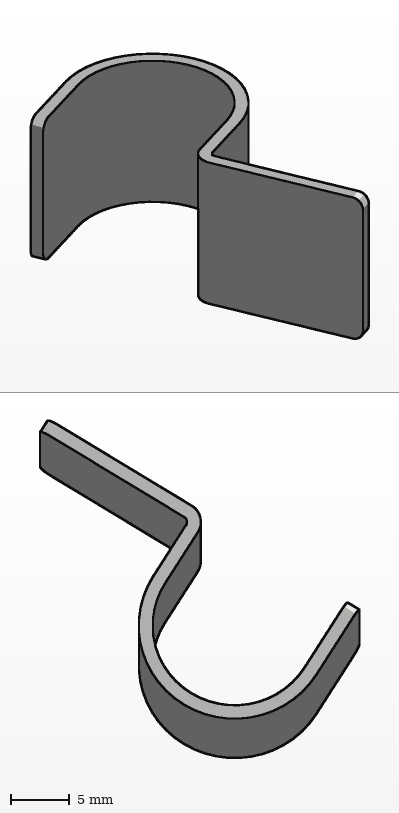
import cadquery as cq
import math

length = 31.4
width = 14.0
thickness = 1.2
loop_radius = 8.2
leg_height = 7.0
bend_inner_radius = 0.5
corner_radius = 1.0

inner_radius = loop_radius - thickness
bend_outer_radius = bend_inner_radius + thickness
flange_end = length - loop_radius
bend_x = inner_radius + bend_outer_radius
bend_y = bend_outer_radius
bend_diagonal = math.sqrt(0.5)


def bend_midpoint(radius):
    """Point halfway round the quarter bend between leg and flange."""
    return (bend_x - radius * bend_diagonal, bend_y - radius * bend_diagonal)


strip = (
    cq.Workplane("XY")
    .moveTo(-loop_radius, 0)
    .lineTo(-loop_radius, leg_height)
    .threePointArc((0, leg_height + loop_radius), (loop_radius, leg_height))
    .lineTo(loop_radius, bend_y)
    .threePointArc(bend_midpoint(bend_inner_radius), (bend_x, thickness))
    .lineTo(flange_end, thickness)
    .lineTo(flange_end, 0)
    .lineTo(bend_x, 0)
    .threePointArc(bend_midpoint(bend_outer_radius), (inner_radius, bend_y))
    .lineTo(inner_radius, leg_height)
    .threePointArc((0, leg_height + inner_radius), (-inner_radius, leg_height))
    .lineTo(-inner_radius, 0)
    .close()
    .extrude(width)
)

strip = strip.faces(">X").edges("|Y").fillet(corner_radius)

free_leg_end = cq.selectors.BoxSelector(
    (-loop_radius - thickness, -thickness, -thickness),
    (0, thickness / 2, width + thickness),
)
result = strip.edges("|X").edges(free_leg_end).fillet(corner_radius)